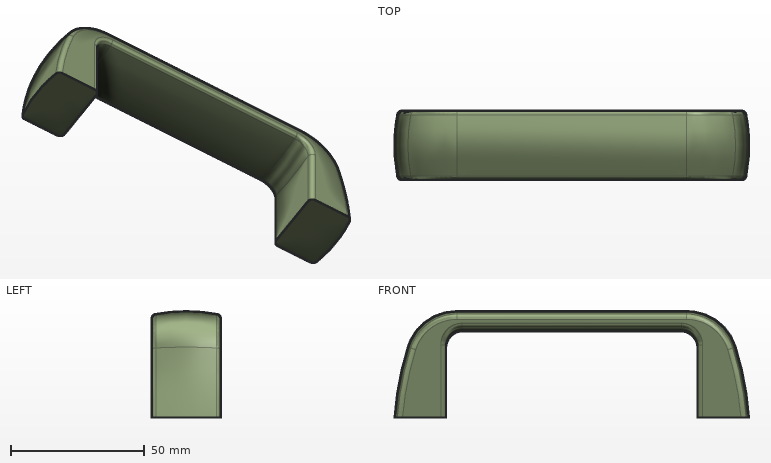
import cadquery as cq
import math

height = 39.85
width = 26.0
base_half_length = 66.39

bar_half_length = 43.0
shoulder_radius = 19.15
leg_lean = math.radians(17.3)

opening_half_length = 47.0
opening_height = 32.3
opening_corner_radius = 6.0

crown_radius = 60.0
edge_radius = 2.0

shoulder_band_depth = shoulder_radius
leg_band_depth = 25.0

crown_drop = crown_radius - math.sqrt(crown_radius**2 - (width / 2) ** 2)

shoulder_x = -bar_half_length
shoulder_z = height - shoulder_radius
lean_x = -math.cos(leg_lean)
lean_z = math.sin(leg_lean)
joint_x = shoulder_x + shoulder_radius * lean_x
joint_z = shoulder_z + shoulder_radius * lean_z

foot_dx = -base_half_length - joint_x
foot_dz = -joint_z
leg_radius = -(foot_dx**2 + foot_dz**2) / (2 * (foot_dx * lean_x + foot_dz * lean_z))
leg_center_z = joint_z - leg_radius * lean_z

foot_angle = math.asin(-leg_center_z / leg_radius)
foot_overlap = math.radians(3.0)


def band_section(plane, band_depth):
    """Crowned section: plane x runs across the handle, plane y points outward from the crown top."""
    half_width = width / 2
    return (
        cq.Workplane(plane)
        .moveTo(-half_width, -band_depth)
        .lineTo(-half_width, -crown_drop)
        .threePointArc((0, 0), (half_width, -crown_drop))
        .lineTo(half_width, -band_depth)
        .close()
    )


def bar():
    plane = cq.Plane(origin=(-bar_half_length, 0, height), xDir=(0, 1, 0), normal=(1, 0, 0))
    return band_section(plane, shoulder_band_depth).extrude(2 * bar_half_length)


def joint_plane():
    """Section plane at the joint, square to the path and facing up the path."""
    return cq.Plane(origin=(joint_x, 0, joint_z), xDir=(0, 1, 0), normal=(lean_z, 0, -lean_x))


def shoulder():
    sweep_angle = 90 - math.degrees(leg_lean)
    return band_section(joint_plane(), shoulder_band_depth).revolve(
        sweep_angle, (-1, -shoulder_radius, 0), (1, -shoulder_radius, 0)
    )


def leg():
    sweep_angle = math.degrees(leg_lean - foot_angle + foot_overlap)
    return band_section(joint_plane(), leg_band_depth).revolve(
        sweep_angle, (1, -leg_radius, 0), (-1, -leg_radius, 0)
    )


def opening():
    """Finger opening with a lengthwise crowned roof, lowest along the middle of the handle."""
    roof_edge = opening_height + crown_drop
    cutter_half_width = width / 2
    profile = (
        cq.Workplane("YZ", origin=(-opening_half_length, 0, 0))
        .moveTo(-cutter_half_width, -height)
        .lineTo(-cutter_half_width, roof_edge)
        .threePointArc((0, opening_height), (cutter_half_width, roof_edge))
        .lineTo(cutter_half_width, -height)
        .close()
    )
    return profile.extrude(2 * opening_half_length)


def below_base():
    """Block that trims the leg arcs level with the base."""
    block = cq.Workplane("XY").box(4 * base_half_length, 2 * width, height)
    return block.translate((0, 0, -height / 2))


def round_opening_corners(body):
    """Round the two upper corners of the opening, where each leg meets the bar."""
    for side in (-1, 1):
        corner = (side * opening_half_length, 0, opening_height + crown_drop / 2)
        body = body.edges(cq.selectors.NearestToPointSelector(corner)).fillet(opening_corner_radius)
    return body


def round_long_edges(body):
    """Round every edge that borders the two flat side faces, except those on the base."""
    for side_face in ("<Y", ">Y"):
        body = body.faces(side_face).edges("not <Z").fillet(edge_radius)
    return body


end = shoulder().union(leg())
body = bar().union(end).union(end.mirror("YZ"))
body = body.cut(opening()).cut(below_base())
result = round_long_edges(round_opening_corners(body))